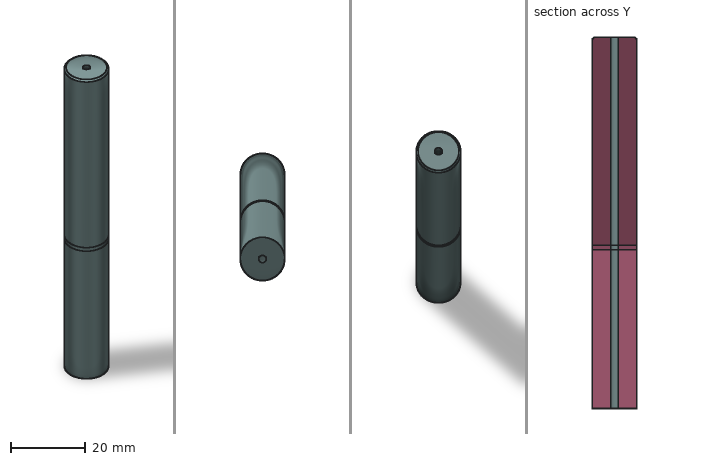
import cadquery as cq

total_length = 100.0
outer_diameter = 12.0
bore_diameter = 2.0
lower_length = 42.8
ring_thickness = 1.2
top_chamfer = 0.5

ring_base = lower_length
upper_base = ring_base + ring_thickness
upper_length = total_length - upper_base


def make_tube(base_height, length):
    """Straight tube on the Z axis, with the common outside and bore diameters."""
    return (
        cq.Workplane("XY")
        .workplane(offset=base_height)
        .circle(outer_diameter / 2)
        .circle(bore_diameter / 2)
        .extrude(length)
    )


def make_lower_tube():
    return make_tube(0, lower_length)


def make_middle_ring():
    """Thin ring held between the two tubes."""
    return make_tube(ring_base, ring_thickness)


def make_upper_tube():
    """Upper tube with a chamfer around its outer top edge only."""
    outer_edge = cq.selectors.RadiusNthSelector(-1)
    return make_tube(upper_base, upper_length).faces(">Z").edges(outer_edge).chamfer(top_chamfer)


lower_tube = make_lower_tube()
middle_ring = make_middle_ring()
upper_tube = make_upper_tube()

result = cq.Compound.makeCompound([lower_tube.val(), middle_ring.val(), upper_tube.val()])